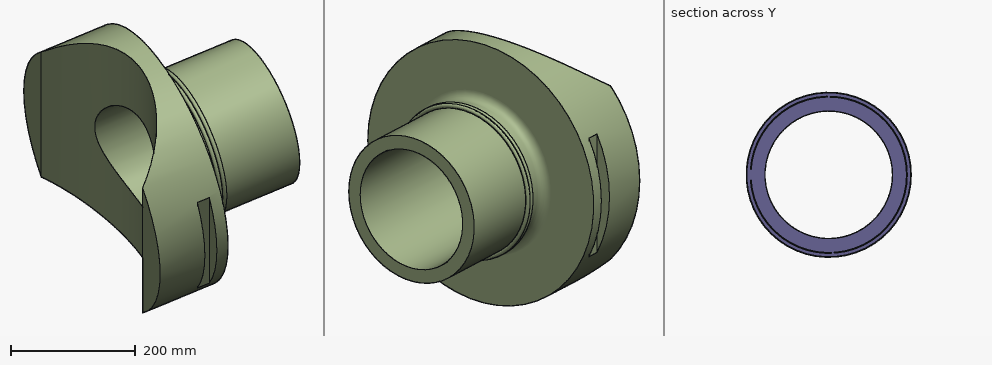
import cadquery as cq
import math


saddle_radius = 200.0
crown_thickness = 34.8
flange_diameter = 450.0
flange_depth = 124.8
stub_diameter = 250.0
stub_length = 187.2
bore_diameter = 204.0
root_fillet_radius = 15.0

slot_width = 22.0
slot_depth = 25.0
slot_offset = 20.8

ring_embedding = 0.05
ring_section_diameter = 7.5
ring_spacing = 7.45
ring_pair_offset = 43.2

flange_radius = flange_diameter / 2
stub_radius = stub_diameter / 2
back_face_y = saddle_radius + crown_thickness
front_face_y = back_face_y - flange_depth
stub_end_y = back_face_y + stub_length


def make_body():
    """Flange, root fillet and stub, revolved about the Y axis."""
    fillet_x = stub_radius + root_fillet_radius
    fillet_y = back_face_y + root_fillet_radius
    middle_offset = root_fillet_radius * math.cos(math.radians(45))
    fillet_middle = (fillet_x - middle_offset, fillet_y - middle_offset)
    profile = (
        cq.Workplane("XY")
        .moveTo(0, front_face_y)
        .lineTo(flange_radius, front_face_y)
        .lineTo(flange_radius, back_face_y)
        .lineTo(fillet_x, back_face_y)
        .threePointArc(fillet_middle, (stub_radius, fillet_y))
        .lineTo(stub_radius, stub_end_y)
        .lineTo(0, stub_end_y)
        .close()
    )
    return profile.revolve(360, (0, 0, 0), (0, 1, 0))


def make_ring(center_y):
    """Round-section ring around the stub."""
    section_radius = ring_section_diameter / 2
    center_x = stub_radius + section_radius - ring_embedding
    section = cq.Workplane("XY").center(center_x, center_y).circle(section_radius)
    return section.revolve(360, (-center_x, 0, 0), (-center_x, 1, 0))


def make_bore():
    """Through bore along the stub axis."""
    length = stub_end_y - front_face_y
    return (
        cq.Workplane("XZ", origin=(0, stub_end_y, 0))
        .circle(bore_diameter / 2)
        .extrude(length)
    )


def make_saddle():
    """Cylinder along Z that hollows out the front of the flange."""
    return cq.Workplane("XY").circle(saddle_radius).extrude(flange_radius, both=True)


def make_slot(side):
    """Straight slot with a flat floor across the flange rim, on side +1 or -1 of X."""
    center_x = side * (flange_radius - slot_depth / 2)
    center_y = back_face_y - slot_offset - slot_width / 2
    return (
        cq.Workplane("XY")
        .box(slot_depth, slot_width, flange_diameter)
        .translate((center_x, center_y, 0))
    )


result = make_body()
for ring_side in (-1, 1):
    ring_y = back_face_y + ring_pair_offset + ring_side * ring_spacing / 2
    result = result.union(make_ring(ring_y))
result = result.cut(make_bore()).cut(make_saddle())
for slot_side in (-1, 1):
    result = result.cut(make_slot(slot_side))
result = result.solids()